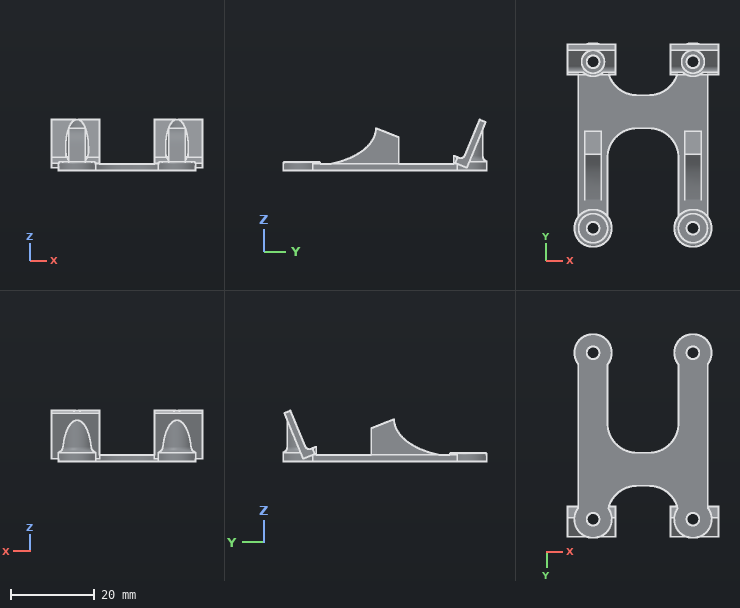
import cadquery as cq
import math

plate_thickness = 1.6
plate_width = 31.2
opening_width = 17.0
opening_corner_radius = 7.0
front_opening_end = 4.0
rear_opening_end = 12.0

boss_x = 12.0
boss_y = 20.0
boss_diameter = 9.0
boss_height = 2.1
boss_edge_radius = boss_height - plate_thickness
screw_diameter = 3.0

recess_diameter = 7.0
recess_depth = 0.4

rib_width = 4.0
rib_rear_y = 3.35
rib_rear_top = 8.0
rib_crest_y = -2.2
rib_crest_top = 10.2
rib_front_y = -13.1
rib_curve_half_length = 16.0

clip_lean = math.radians(22.5)
clip_heel_y = 19.66
clip_heel_z = 0.65
clip_height = 11.9
clip_wall = 1.6
clip_foot_length = 3.0
clip_foot_thickness = 1.5
clip_corner_radius = 1.1
clip_inner_x = 6.6
clip_outer_x = 18.2

sleeve_diameter = 7.0
sleeve_bore = 5.5
sleeve_floor = plate_thickness
sleeve_flare_radius = 1.4

beyond = 60.0


def cylinder(x, y, z, diameter, height):
    return cq.Workplane("XY", origin=(x, y, z)).circle(diameter / 2).extrude(height)


def extrude_along_x(outline, x_start, x_end):
    """Extrude the (y, z) outline drawn by a function between two X positions."""
    return outline(cq.Workplane("YZ", origin=(x_start, 0, 0))).extrude(x_end - x_start)


def clip_point(out, up):
    """(y, z) of a point `out` forward of the clip's heel and `up` along its back face."""
    y = clip_heel_y - out * math.cos(clip_lean) + up * math.sin(clip_lean)
    z = clip_heel_z + out * math.sin(clip_lean) + up * math.cos(clip_lean)
    return y, z


def base_plate():
    plate = cq.Workplane("XY").rect(plate_width, 2 * boss_y).extrude(plate_thickness)
    opening_length = boss_y + boss_diameter
    for end_y, direction in ((front_opening_end, -1), (rear_opening_end, 1)):
        opening = (
            cq.Workplane("XY", origin=(0, end_y + direction * opening_length / 2, 0))
            .rect(opening_width, opening_length)
            .extrude(plate_thickness)
            .edges("|Z")
            .fillet(opening_corner_radius)
        )
        plate = plate.cut(opening)
    return plate


def front_boss(x):
    boss = cylinder(x, -boss_y, 0, boss_diameter, boss_height)
    boss = boss.faces(">Z").edges().fillet(boss_edge_radius)
    return boss.cut(cylinder(x, -boss_y, boss_height - recess_depth, recess_diameter, recess_depth))


def rib(x):
    """Wedge with a sloped top and a hollow elliptical front running down to the plate.

    The ellipse is upright at the crest and meets the plate's top at the rib's front end.
    """
    x_start, x_end = x - rib_width / 2, x + rib_width / 2
    outline = [
        (rib_rear_y, 0),
        (rib_rear_y, rib_rear_top),
        (rib_crest_y, rib_crest_top),
        (rib_front_y, rib_crest_top),
        (rib_front_y, 0),
    ]
    wedge = extrude_along_x(lambda plane: plane.polyline(outline).close(), x_start, x_end)

    ellipse_centre_y = rib_crest_y - rib_curve_half_length
    end_fraction = (rib_front_y - ellipse_centre_y) / rib_curve_half_length
    half_height = (rib_crest_top - plate_thickness) / math.sqrt(1 - end_fraction**2)
    hollow = extrude_along_x(
        lambda plane: plane.center(ellipse_centre_y, rib_crest_top).ellipse(
            rib_curve_half_length, half_height
        ),
        x_start,
        x_end,
    )
    return wedge.cut(hollow)


def clip_block(x_start, x_end, bottom, front):
    """L-shaped block with the clip's back, top and inner faces and a sharp inner corner.

    `bottom` and `front` place its other two sides in the clip's leaning frame.
    """
    outline = [
        clip_point(0, bottom),
        clip_point(front, bottom),
        clip_point(front, clip_foot_thickness),
        clip_point(clip_wall, clip_foot_thickness),
        clip_point(clip_wall, clip_height),
        clip_point(0, clip_height),
    ]
    return extrude_along_x(lambda plane: plane.polyline(outline).close(), x_start, x_end)


def clip(x_start, x_end):
    """Wall and foot joined by a rounded inner corner."""
    inner_corner = ((x_start + x_end) / 2, *clip_point(clip_wall, clip_foot_thickness))
    nearest_edge = cq.selectors.NearestToPointSelector(inner_corner)
    block = clip_block(x_start, x_end, 0, clip_foot_length)
    return block.edges("|X").edges(nearest_edge).fillet(clip_corner_radius)


def flared_column(x):
    """Rear boss with a concave flare rising into the outside of the sleeve."""
    boss_radius = boss_diameter / 2
    sleeve_radius = sleeve_diameter / 2
    flare_centre = sleeve_radius + sleeve_flare_radius
    flare_top = boss_height + sleeve_flare_radius
    rim_drop = math.sqrt(sleeve_flare_radius**2 - (flare_centre - boss_radius) ** 2)
    return (
        cq.Workplane("XZ", origin=(x, boss_y, 0))
        .lineTo(boss_radius, 0)
        .lineTo(boss_radius, flare_top - rim_drop)
        .radiusArc((sleeve_radius, flare_top), sleeve_flare_radius)
        .lineTo(sleeve_radius, beyond)
        .lineTo(0, beyond)
        .close()
        .revolve(360, (0, 0), (0, 1))
    )


def rear_mount(side):
    """Boss, leaning clip and sleeve on one side; `side` is -1 or 1."""
    x = side * boss_x
    x_start, x_end = sorted((side * clip_inner_x, side * clip_outer_x))

    block_start, block_end = x - boss_diameter, x + boss_diameter
    behind_clip = [
        clip_point(0, -beyond),
        clip_point(0, clip_height),
        clip_point(-beyond, clip_height),
        clip_point(-beyond, -beyond),
    ]
    rear_limit = extrude_along_x(
        lambda plane: plane.polyline(behind_clip).close(), block_start, block_end
    )
    front_limit = clip_block(block_start, block_end, -beyond, beyond)
    rear_half = flared_column(x).intersect(rear_limit)
    front_half = (
        cylinder(x, boss_y, 0, boss_diameter, plate_thickness)
        .union(cylinder(x, boss_y, 0, sleeve_diameter, beyond))
        .intersect(front_limit)
    )
    return rear_half.union(front_half).union(clip(x_start, x_end))


result = base_plate()
for side in (-1, 1):
    x = side * boss_x
    result = result.union(front_boss(x)).union(rib(x)).union(rear_mount(side))
    result = result.cut(cylinder(x, boss_y, sleeve_floor, sleeve_bore, beyond))
    for y in (-boss_y, boss_y):
        result = result.cut(cylinder(x, y, 0, screw_diameter, beyond))